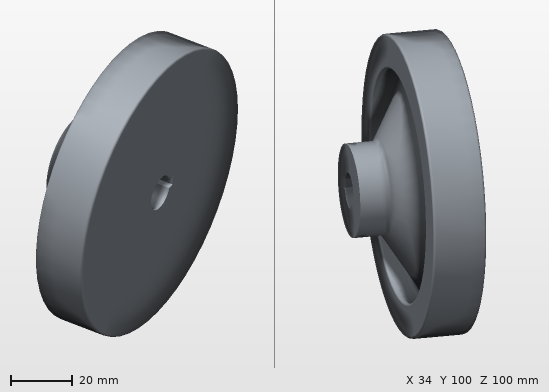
import cadquery as cq
import math

wheel_radius = 50.0
overall_width = 34.0
rim_width = 17.8
rim_face = overall_width - rim_width
rim_edge_round = 0.8

hub_radius = 15.5
hub_length = 10.0
hub_root_round = 1.5

recess_radius = 38.5
recess_lip_round = 0.8
recess_root_round = 1.4
cone_angle = 57.5
cone_end = hub_length + (recess_radius - hub_radius) / math.tan(math.radians(cone_angle))

bore_diameter = 12.0
key_width = 4.0
key_reach = 7.8


def wheel_body():
    """Revolve the hub, conical web and rim; the far face is flat."""
    profile = (
        cq.Workplane("XY")
        .moveTo(0, 0)
        .lineTo(0, hub_radius)
        .lineTo(hub_length, hub_radius)
        .lineTo(cone_end, recess_radius)
        .lineTo(rim_face, recess_radius)
        .lineTo(rim_face, wheel_radius)
        .lineTo(overall_width, wheel_radius)
        .lineTo(overall_width, 0)
        .close()
    )
    return profile.revolve(360, (0, 0, 0), (1, 0, 0))


def round_circle(body, x, radius, round_radius):
    """Round the circular edge of the given radius at the given X."""
    tolerance = 0.01
    edges = [
        edge
        for edge in body.edges("%CIRCLE").vals()
        if abs(edge.Center().x - x) < tolerance and abs(edge.radius() - radius) < tolerance
    ]
    return body.newObject(edges).fillet(round_radius)


body = wheel_body()
rounded_circles = (
    (hub_length, hub_radius, hub_root_round),
    (cone_end, recess_radius, recess_root_round),
    (rim_face, recess_radius, recess_lip_round),
    (rim_face, wheel_radius, rim_edge_round),
    (overall_width, wheel_radius, rim_edge_round),
)
for x, radius, round_radius in rounded_circles:
    body = round_circle(body, x, radius, round_radius)

bore = cq.Workplane("YZ").circle(bore_diameter / 2).extrude(overall_width)
keyway = cq.Workplane("XY").box(
    overall_width, key_reach, key_width, centered=(False, False, True)
)
result = body.cut(bore).cut(keyway)